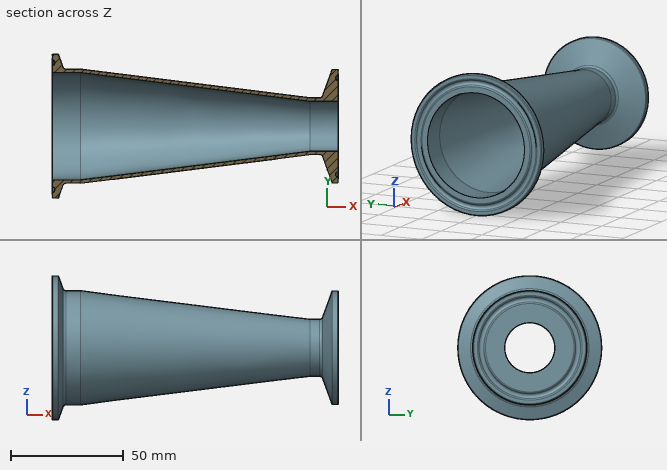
import cadquery as cq
import math

LENGTH = 127.0
FERRULE_LENGTH = 12.7

LARGE_RIM_RADIUS = 63.91 / 2
LARGE_TUBE_RADIUS = 50.8 / 2
LARGE_BORE_RADIUS = 47.5 / 2

SMALL_RIM_RADIUS = 50.39 / 2
SMALL_TUBE_RADIUS = 25.4 / 2
SMALL_BORE_RADIUS = 22.1 / 2

RIM_WIDTH = 2.85
CLAMP_ANGLE = math.radians(20)
RIM_EDGE_RADIUS = 0.4
NECK_FILLET_RADIUS = 1.3

GROOVE_RIM_OFFSET = 3.75
GROOVE_ARC_RADIUS = 1.2
GROOVE_DEPTH = 1.2
GROOVE_LIP_RADIUS = 0.75


def revolve_about_x(profile):
    """Turn a closed (x, radius) outline into a solid of revolution about X."""
    return profile.close().revolve(360, (0, 0, 0), (1, 0, 0))


def ferrule_blank(rim_radius, tube_radius, bore_radius):
    """Clamp ferrule with its sealing face at x = 0 and its tube toward +X."""
    neck_x = RIM_WIDTH + (rim_radius - tube_radius) * math.tan(CLAMP_ANGLE)
    half_turn = (math.pi / 2 - CLAMP_ANGLE) / 2
    fillet_reach = NECK_FILLET_RADIUS * math.tan(half_turn)
    fillet_center_x = neck_x + fillet_reach
    fillet_center_radius = tube_radius + NECK_FILLET_RADIUS
    cone_tangent = (
        neck_x - fillet_reach * math.sin(CLAMP_ANGLE),
        tube_radius + fillet_reach * math.cos(CLAMP_ANGLE),
    )
    fillet_middle = (
        fillet_center_x - NECK_FILLET_RADIUS * math.sin(half_turn),
        fillet_center_radius - NECK_FILLET_RADIUS * math.cos(half_turn),
    )
    body = revolve_about_x(
        cq.Workplane("XY")
        .moveTo(0, bore_radius)
        .lineTo(0, rim_radius)
        .lineTo(RIM_WIDTH, rim_radius)
        .lineTo(*cone_tangent)
        .threePointArc(fillet_middle, (fillet_center_x, tube_radius))
        .lineTo(FERRULE_LENGTH, tube_radius)
        .lineTo(FERRULE_LENGTH, bore_radius)
    )
    rim_edges = body.edges(cq.selectors.RadiusNthSelector(-1))
    return rim_edges.fillet(RIM_EDGE_RADIUS)


def gasket_groove(rim_radius):
    """Cutter for the groove in a sealing face at x = 0."""
    middle_radius = rim_radius - GROOVE_RIM_OFFSET
    arc_center_x = GROOVE_DEPTH - GROOVE_ARC_RADIUS
    center_distance = GROOVE_ARC_RADIUS + GROOVE_LIP_RADIUS
    lip_rise = GROOVE_LIP_RADIUS - arc_center_x
    lip_offset = math.sqrt(center_distance**2 - lip_rise**2)
    tangent_share = GROOVE_ARC_RADIUS / center_distance
    tangent_x = arc_center_x + lip_rise * tangent_share
    tangent_offset = lip_offset * tangent_share
    lip_half_angle = math.acos(lip_rise / center_distance) / 2
    lip_middle_x = GROOVE_LIP_RADIUS * (1 - math.cos(lip_half_angle))
    lip_middle_offset = lip_offset - GROOVE_LIP_RADIUS * math.sin(lip_half_angle)
    return revolve_about_x(
        cq.Workplane("XY")
        .moveTo(0, middle_radius - lip_offset)
        .threePointArc(
            (lip_middle_x, middle_radius - lip_middle_offset),
            (tangent_x, middle_radius - tangent_offset),
        )
        .threePointArc((GROOVE_DEPTH, middle_radius), (tangent_x, middle_radius + tangent_offset))
        .threePointArc(
            (lip_middle_x, middle_radius + lip_middle_offset),
            (0, middle_radius + lip_offset),
        )
    )


def ferrule(rim_radius, tube_radius, bore_radius):
    """Clamp ferrule complete with its gasket groove."""
    return ferrule_blank(rim_radius, tube_radius, bore_radius).cut(gasket_groove(rim_radius))


def reducer():
    """Thin conical wall joining the two ferrule tubes."""
    small_end_x = LENGTH - FERRULE_LENGTH
    return revolve_about_x(
        cq.Workplane("XY")
        .moveTo(FERRULE_LENGTH, LARGE_BORE_RADIUS)
        .lineTo(FERRULE_LENGTH, LARGE_TUBE_RADIUS)
        .lineTo(small_end_x, SMALL_TUBE_RADIUS)
        .lineTo(small_end_x, SMALL_BORE_RADIUS)
    )


large_ferrule = ferrule(LARGE_RIM_RADIUS, LARGE_TUBE_RADIUS, LARGE_BORE_RADIUS)
small_ferrule = (
    ferrule(SMALL_RIM_RADIUS, SMALL_TUBE_RADIUS, SMALL_BORE_RADIUS)
    .mirror("YZ")
    .translate((LENGTH, 0, 0))
)
result = large_ferrule.union(reducer()).union(small_ferrule)